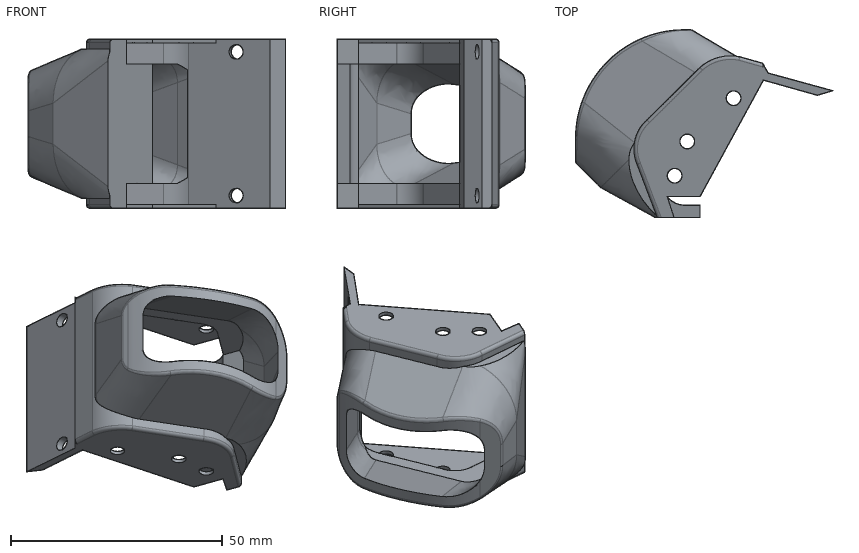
import cadquery as cq
import math

height = 40.0
width = 60.9
depth = 44.5
wall = 3.85
end_plate = 0.9
edge_round = 0.85
hole_diameter = 3.4

foot = (19.4, 0)
low_bend = (14.55, 12.6)
low_bend_mid = (14.1, 18.45)
diagonal_start = (16.95, 23.15)
diagonal_end = (29.4, 35.5)
high_bend_mid = (33.75, 37.9)
high_bend = (38.85, 38.1)
wall_tip = (44.3, 36.55)
flap_outer_root = (45.55, 34.25)
wall_slope = (wall_tip[1] - high_bend[1]) / (wall_tip[0] - high_bend[0])


def inner_wall_point(x):
    """Point on the inside of the straight wall run that continues as the flap."""
    outer_y = high_bend[1] + wall_slope * (x - high_bend[0])
    return (x, outer_y - wall * math.hypot(1, wall_slope))


flap_inner_root = inner_wall_point(44.5)
foot_inner_x = 23.35
mouth_x = 29.5
mouth_y = 5.0
slot_corner_x = 21.7

lip_height = 28.25
lip_thickness = 3.0
lip_curve_mid = (23.5, 3.55)
lip_curve_end_x = 25.8

flap_tip = (width, 30.05)
flap_inner_tip = inner_wall_point(57.2)
flap_hole = (49.2, 31.2)
flap_hole_z = 17.0
plate_holes = [(37.4, 28.25), (26.45, 18.05), (23.45, 9.9)]

hood_half_height = 17.65
hood_base_half = 17.05
hood_taper = 0.33
hood_shell = 3.15
arc_inset = 1 - math.sqrt(0.5)
rim_radius = 25.75
rim_center_y = depth - rim_radius
rim_round = 0.9
rim_end_x = 27.4
hood_root_x = 38.4
hood_sections = [
    (-18.3, -14.75, 29.25, 7.9, 8.5),
    (-3.65, -19.05, 25.45, 13.4, 8.5),
    (18.3, -19.25, 19.7, 10.95, 8.5),
]
cavity_limit_x = 37.8


def prism(outline, tall):
    """Extrude a closed XY outline symmetrically about mid height."""
    return outline.close().extrude(tall / 2, both=True)


def outer_wall():
    return (
        cq.Workplane("XY").moveTo(*foot).lineTo(*low_bend)
        .threePointArc(low_bend_mid, diagonal_start).lineTo(*diagonal_end)
        .threePointArc(high_bend_mid, high_bend).lineTo(*wall_tip)
    )


def housing():
    outline = (
        outer_wall().lineTo(*flap_outer_root).lineTo(*flap_inner_root)
        .lineTo(mouth_x, mouth_y).lineTo(slot_corner_x, mouth_y)
        .lineTo(foot_inner_x, 0)
    )
    body = prism(outline, height)
    diagonal_middle = (
        (diagonal_start[0] + diagonal_end[0]) / 2,
        (diagonal_start[1] + diagonal_end[1]) / 2,
    )
    for end_z in (-height / 2, height / 2):
        diagonal_edge = cq.selectors.NearestToPointSelector((*diagonal_middle, end_z))
        body = body.edges(diagonal_edge).fillet(edge_round)
    return body


def room():
    """Space enclosed by the wall and end plates, open toward the mouth."""
    outline = (
        outer_wall().lineTo(width, high_bend[1] + wall_slope * (width - high_bend[0]))
        .lineTo(width, 0)
    )
    inset = outline.close().offset2D(-wall)
    block = inset.extrude(height / 2 - end_plate, both=True)
    above_mouth = cq.Workplane("XY").box(width, depth, height, centered=(False, False, True))
    return block.intersect(above_mouth.translate((0, mouth_y, 0)))


def hood_section(plane, section, inset):
    distance, low, high, low_radius, high_radius = section
    half = hood_base_half - hood_taper * distance - inset
    low += inset
    high -= inset
    r_low = low_radius - inset
    r_high = high_radius - inset
    d_low = r_low * arc_inset
    d_high = r_high * arc_inset
    return (
        cq.Workplane(plane).workplane(offset=distance)
        .moveTo(low + r_low, -half).lineTo(high - r_high, -half)
        .threePointArc((high - d_high, d_high - half), (high, r_high - half))
        .lineTo(high, half - r_high)
        .threePointArc((high - d_high, half - d_high), (high - r_high, half))
        .lineTo(low + r_low, half)
        .threePointArc((low + d_low, half - d_low), (low, half - r_low))
        .lineTo(low, r_low - half)
        .threePointArc((low + d_low, d_low - half), (low + r_low, -half))
        .close().wires().val()
    )


def hood_loft(inset):
    run_x = diagonal_end[0] - diagonal_start[0]
    run_y = diagonal_end[1] - diagonal_start[1]
    plane = cq.Plane(
        origin=(*diagonal_start, 0), xDir=(run_x, run_y, 0), normal=(-run_y, run_x, 0)
    )
    wires = [hood_section(plane, section, inset) for section in hood_sections]
    return cq.Workplane(cq.Solid.makeLoft(wires, True))


def hood():
    rim_offset = rim_radius * math.sqrt(0.5)
    rim_mid = (rim_radius - rim_offset, rim_center_y + rim_offset)
    outline = (
        cq.Workplane("XY").moveTo(foot[0], 0).lineTo(0, 0).lineTo(0, rim_center_y)
        .threePointArc(rim_mid, (rim_radius, depth)).lineTo(rim_end_x, depth)
        .lineTo(hood_root_x, depth)
        .lineTo(hood_root_x, flap_outer_root[1]).lineTo(mouth_x, diagonal_start[1])
    )
    shape = prism(outline, 2 * hood_half_height).intersect(hood_loft(0))
    rim_face = shape.faces(cq.selectors.NearestToPointSelector((*rim_mid, 0)))
    return rim_face.edges("not |Z").fillet(rim_round)


def hood_cavity():
    limit = cq.Workplane("XY").box(
        2 * cavity_limit_x, depth, lip_height, centered=(True, False, True)
    ).translate((0, mouth_y, 0))
    return hood_loft(hood_shell).intersect(limit)


def lip():
    outline = (
        cq.Workplane("XY").moveTo(foot_inner_x, 0).lineTo(slot_corner_x, mouth_y)
        .threePointArc(lip_curve_mid, (lip_curve_end_x, lip_thickness))
        .lineTo(mouth_x, lip_thickness).lineTo(mouth_x, 0)
    )
    return prism(outline, lip_height)


def flap():
    outline = cq.Workplane("XY").polyline(
        [wall_tip, flap_outer_root, flap_tip, flap_inner_tip, flap_inner_root]
    )
    return prism(outline, height)


def plate_hole_cutter():
    return (
        cq.Workplane("XY").pushPoints(plate_holes).circle(hole_diameter / 2)
        .extrude(height, both=True)
    )


def flap_hole_cutter():
    plane = cq.Plane(
        origin=(*flap_hole, 0), xDir=(1, wall_slope, 0), normal=(-wall_slope, 1, 0)
    )
    return (
        cq.Workplane(plane).pushPoints([(0, flap_hole_z), (0, -flap_hole_z)])
        .circle(hole_diameter / 2).extrude(wall, both=True)
    )


result = (
    housing().union(hood()).cut(room()).cut(hood_cavity())
    .union(lip()).union(flap()).cut(plate_hole_cutter()).cut(flap_hole_cutter())
)